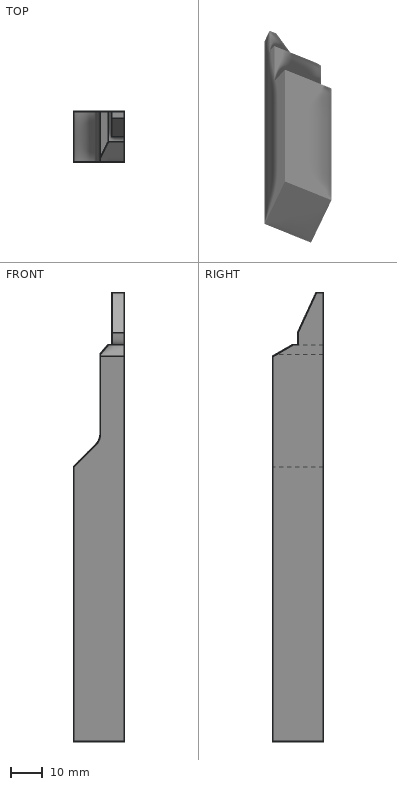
import cadquery as cq
import math

side = 16.0
total_height = 141.6
shank_height = 86.7

neck_width = 7.6
shoulder_angle = 45.0
shoulder_fillet = 5.0

land_height = 125.2
land_width = 5.1
land_depth = 9.6
left_bevel_drop = 3.0
front_bevel_angle = 30.0

blade_width = 4.0
blade_depth = 8.1
blade_tip_depth = 2.3
blade_upright = 3.8

right = side / 2
back = side / 2
left = right - side
front = back - side


def make_body():
    """Shank, shoulder and neck as one front profile, with the left bevel included."""
    neck_left = right - neck_width
    shoulder_rise = (side - neck_width) * math.tan(math.radians(shoulder_angle))
    profile = (
        cq.Workplane("XZ", origin=(0, back, 0))
        .moveTo(left, 0)
        .lineTo(right, 0)
        .lineTo(right, land_height)
        .lineTo(right - land_width, land_height)
        .lineTo(neck_left, land_height - left_bevel_drop)
        .lineTo(neck_left, shank_height + shoulder_rise)
        .lineTo(left, shank_height)
        .close()
    )
    neck_root = cq.selectors.NearestToPointSelector((neck_left, 0, shank_height + shoulder_rise))
    return profile.extrude(side).edges("|Y").edges(neck_root).fillet(shoulder_fillet)


def make_front_bevel():
    """Wedge removed from the front top edge of the neck."""
    bevel_run = side - land_depth
    bevel_drop = bevel_run * math.tan(math.radians(front_bevel_angle))
    return (
        cq.Workplane("YZ", origin=(left, 0, 0))
        .moveTo(front, land_height)
        .lineTo(front, land_height - bevel_drop)
        .lineTo(back - land_depth, land_height)
        .close()
        .extrude(side)
    )


def make_blade():
    """Blade with an upright heel and a sloped front that narrows to the tip."""
    heel = back - blade_depth
    return (
        cq.Workplane("YZ", origin=(right - blade_width, 0, 0))
        .moveTo(back, land_height)
        .lineTo(back, total_height)
        .lineTo(back - blade_tip_depth, total_height)
        .lineTo(heel, land_height + blade_upright)
        .lineTo(heel, land_height)
        .close()
        .extrude(blade_width)
    )


result = make_body().cut(make_front_bevel()).union(make_blade())